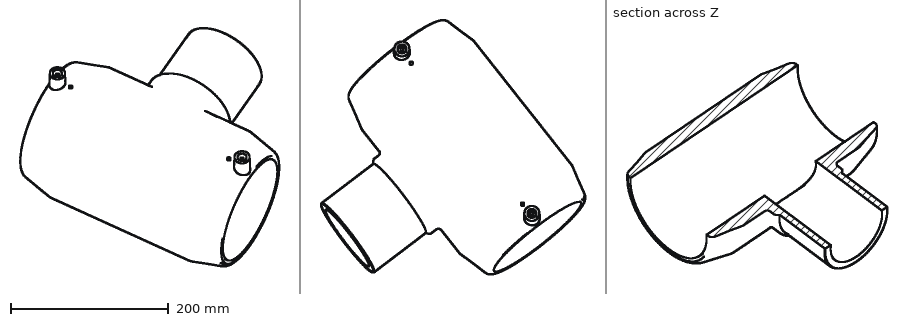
import cadquery as cq
import math

length = 292.0
body_radius = 90.5
bore_radius = 140.0 / 2
taper_length = 44.7
nose_length = 5.5
nose_radius = 80.3
face_radius = 74.5
nose_bulge = 1.2

branch_radius = 110.0 / 2
branch_bore_radius = 90.0 / 2
branch_end = 191.5
branch_end_chamfer = 1.0
collar_radius = 119.0 / 2
collar_end = 108.0
collar_round = 3.0
saddle_round = 4.7

terminal_inset = 11.7
terminal_top = 104.0
terminal_base = 74.8
terminal_top_radius = 9.5
terminal_base_radius = 10.5
socket_diameter = 11.5
socket_depth = 11.7
contact_height = 8.8
contact_root = 3.0
pin_diameter = 4.0

indicator_inset = 31.0
indicator_top = 88.5
indicator_base = 78.8

half_length = length / 2


def y_cylinder(radius, end):
    """Cylinder from the sleeve axis out to y = end."""
    return cq.Workplane("XZ").circle(radius).extrude(-end)


def z_cylinder(diameter, x, bottom, top):
    """Upright cylinder between two heights."""
    return cq.Workplane("XY", origin=(x, 0, bottom)).circle(diameter / 2).extrude(top - bottom)


def sleeve():
    """Solid sleeve with tapered ends and rounded noses."""
    shoulder_x = half_length - taper_length
    nose_x = half_length - nose_length
    nose_drop = nose_radius - face_radius
    chord = math.hypot(nose_length, nose_drop)
    mid_x = half_length - nose_length / 2 + nose_bulge * nose_drop / chord
    mid_r = (nose_radius + face_radius) / 2 + nose_bulge * nose_length / chord
    profile = (
        cq.Workplane("XY")
        .moveTo(-half_length, 0)
        .lineTo(-half_length, face_radius)
        .threePointArc((-mid_x, mid_r), (-nose_x, nose_radius))
        .lineTo(-shoulder_x, body_radius)
        .lineTo(shoulder_x, body_radius)
        .lineTo(nose_x, nose_radius)
        .threePointArc((mid_x, mid_r), (half_length, face_radius))
        .lineTo(half_length, 0)
        .close()
    )
    return profile.revolve(360, (0, 0, 0), (1, 0, 0))


def collar():
    """Branch collar with a 45 degree outer bevel softened by a small round."""
    bevel = collar_radius - branch_radius
    bevelled = y_cylinder(collar_radius, collar_end).faces(">Y").edges().chamfer(bevel)
    rim = cq.selectors.NearestToPointSelector((0, collar_end - bevel, 0))
    return bevelled.edges("%CIRCLE").edges(rim).fillet(collar_round)


def terminal(x):
    """Slightly conical post with a socket and a central contact pin."""
    post = (
        cq.Workplane("XY", origin=(x, 0, terminal_base))
        .circle(terminal_base_radius)
        .workplane(offset=terminal_top - terminal_base)
        .circle(terminal_top_radius)
        .loft()
    )
    floor = terminal_top - socket_depth
    socket = z_cylinder(socket_diameter, x, floor, terminal_top)
    contact = z_cylinder(pin_diameter, x, floor - contact_root, floor + contact_height)
    return post.cut(socket).union(contact)


outer = sleeve().union(collar())
margin = 0.3
joint_limit = collar_radius + margin
joint_box = cq.selectors.BoxSelector(
    (-joint_limit, margin, -joint_limit),
    (joint_limit, body_radius + margin, joint_limit),
    boundingbox=True,
)
outer = outer.edges(joint_box).edges("not %LINE").fillet(saddle_round)
branch = y_cylinder(branch_radius, branch_end).faces(">Y").edges().chamfer(branch_end_chamfer)
outer = outer.union(branch)

for side in (-1, 1):
    outer = outer.union(terminal(side * (half_length - terminal_inset)))
    indicator_x = side * (half_length - indicator_inset)
    outer = outer.union(z_cylinder(pin_diameter, indicator_x, indicator_base, indicator_top))

main_bore = cq.Workplane("YZ").circle(bore_radius).extrude(half_length, both=True)
result = outer.cut(main_bore).cut(y_cylinder(branch_bore_radius, branch_end))